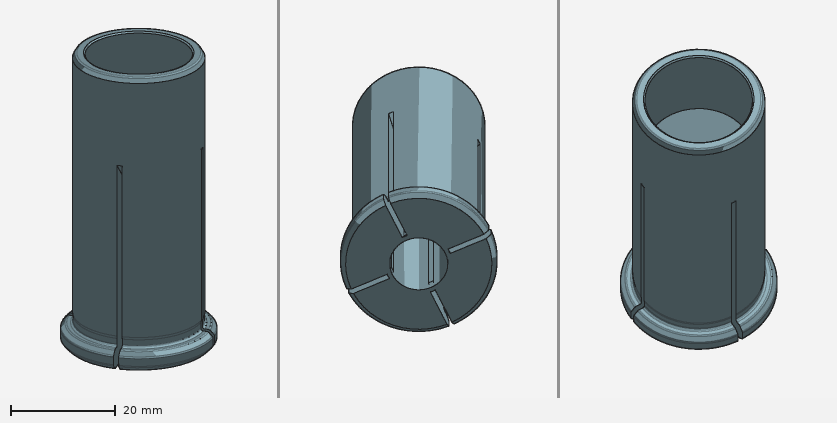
import cadquery as cq
import math

length = 60.0
flange_radius = 15.0
body_radius = 25.4 / 2

flange_height = 4.0
flange_chamfer = 1.0
edge_round = 0.5
neck_depth = 0.1
neck_radius = body_radius - neck_depth
neck_taper_bottom = 5.7
neck_taper_top = 6.25

end_chamfer_width = 0.6
end_chamfer_height = 1.0
end_round = 0.4

upper_bore_radius = 20.5 / 2
lower_bore_radius = 11.1 / 2
funnel_bottom = 39.0
funnel_top = funnel_bottom + upper_bore_radius - lower_bore_radius
bore_mouth_chamfer = 0.3

slit_count = 4
slit_width = 1.0
slit_top = 41.7
slit_foot_height = 2.4
slit_foot_tilt = 20.0
slit_outer_radius = flange_radius + 0.6


def round_corners(solid, radius, corners):
    """Round the circular edges that pass through the given (radius, height) corners."""
    tolerance = 0.005
    rings = [
        edge
        for edge in solid.edges("%CIRCLE").vals()
        for corner_radius, height in corners
        if abs(edge.radius() - corner_radius) < tolerance
        and abs(edge.Center().z - height) < tolerance
    ]
    return solid.newObject(rings).fillet(radius)


def make_outer_body():
    flange_flat_radius = flange_radius - flange_chamfer
    end_flat_radius = body_radius - end_chamfer_width
    profile = (
        cq.Workplane("XZ")
        .lineTo(flange_flat_radius, 0)
        .lineTo(flange_radius, flange_chamfer)
        .lineTo(flange_radius, flange_height - flange_chamfer)
        .lineTo(flange_flat_radius, flange_height)
        .lineTo(neck_radius, flange_height)
        .lineTo(neck_radius, neck_taper_bottom)
        .lineTo(body_radius, neck_taper_top)
        .lineTo(body_radius, length - end_chamfer_height)
        .lineTo(end_flat_radius, length)
        .lineTo(0, length)
        .close()
    )
    body = profile.revolve(360, (0, 0, 0), (0, 1, 0))
    body = round_corners(body, edge_round, [
        (neck_radius, flange_height),
        (flange_flat_radius, flange_height),
        (flange_radius, flange_height - flange_chamfer),
        (flange_radius, flange_chamfer),
    ])
    return round_corners(body, end_round, [(end_flat_radius, length)])


def make_bore():
    profile = (
        cq.Workplane("XZ")
        .lineTo(lower_bore_radius, 0)
        .lineTo(lower_bore_radius, funnel_bottom)
        .lineTo(upper_bore_radius, funnel_top)
        .lineTo(upper_bore_radius, length - bore_mouth_chamfer)
        .lineTo(upper_bore_radius + bore_mouth_chamfer, length)
        .lineTo(0, length)
        .close()
    )
    return profile.revolve(360, (0, 0, 0), (0, 1, 0))


def make_slit():
    inner_top = slit_top - (body_radius - lower_bore_radius)
    outer_top = slit_top + (slit_outer_radius - body_radius)
    foot_radius = lower_bore_radius + slit_foot_height * math.tan(math.radians(slit_foot_tilt))
    return (
        cq.Workplane("XZ")
        .moveTo(foot_radius, 0)
        .lineTo(slit_outer_radius, 0)
        .lineTo(slit_outer_radius, outer_top)
        .lineTo(0, inner_top - lower_bore_radius)
        .lineTo(0, slit_foot_height)
        .lineTo(lower_bore_radius, slit_foot_height)
        .close()
        .extrude(slit_width / 2, both=True)
    )


result = make_outer_body().cut(make_bore())
slit = make_slit()
for index in range(slit_count):
    angle = index * 360 / slit_count
    result = result.cut(slit.rotate((0, 0, 0), (0, 0, 1), angle))